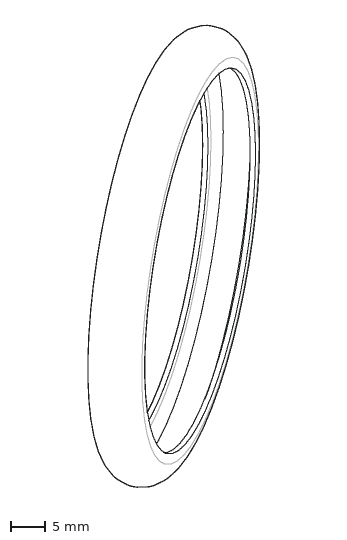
import cadquery as cq

outer_diameter = 68.25
width = 8.05
bore_diameter = 57.05
wall = 0.8
groove_floor_diameter = 65.1

outer_radius = outer_diameter / 2
bore_radius = bore_diameter / 2
crown_radius = width / 2
crown_center_radius = outer_radius - crown_radius


def arched_ring(arch_radius):
    """Solid ring with flat sides and a semicircular crown, down to the bore."""
    return (
        cq.Workplane("XY")
        .moveTo(-arch_radius, bore_radius)
        .lineTo(-arch_radius, crown_center_radius)
        .threePointArc((0, crown_center_radius + arch_radius), (arch_radius, crown_center_radius))
        .lineTo(arch_radius, bore_radius)
        .close()
        .revolve(360, (0, 0, 0), (1, 0, 0))
    )


groove_limit = (
    cq.Workplane("YZ")
    .circle(groove_floor_diameter / 2)
    .extrude(crown_radius, both=True)
)
groove = arched_ring(crown_radius - wall).intersect(groove_limit)

result = arched_ring(crown_radius).cut(groove)